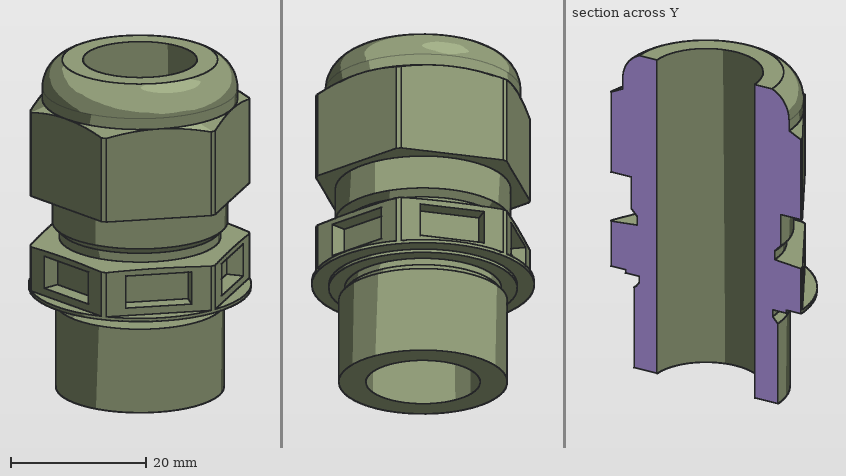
import cadquery as cq
import math

bore_radius = 8.45
thread_radius = 12.5
thread_neck_radius = 11.65
collar_radius = 13.95
flange_diameter = 33.0
corner_radius = flange_diameter / 2
body_neck_radius = 12.0
body_radius = 13.0
hex_inradius = 14.5
dome_top_radius = 11.55

thread_top = 13.05
thread_cone_top = 14.0
collar_bottom = 15.05
flange_bottom = 15.55
flange_top = 16.05
lower_hex_corner_top = 22.95
lower_hex_top = 23.35
body_cone_bottom = 24.75
body_cone_top = 25.75
nut_bottom = 30.85
nut_corner_top = 43.9
nut_top = 44.9
dome_bottom = 46.6
total_height = 51.0

pocket_width = 9.9
pocket_bottom = 17.25
pocket_height = 5.0
pocket_depth = 2.6


def revolve_profile(profile):
    """Revolve a closed radius-height profile around the Z axis."""
    return profile.close().revolve(360, (0, 0, 0), (0, 1, 0))


def make_core():
    """Round body: thread, flange, necks and the domed cap."""
    dome_height = total_height - dome_bottom
    dome_inset = hex_inradius - dome_top_radius
    arc_radius = (dome_inset**2 + dome_height**2) / (2 * dome_inset)
    half_angle = math.asin(dome_height / arc_radius) / 2
    arc_middle = (
        hex_inradius - arc_radius * (1 - math.cos(half_angle)),
        dome_bottom + arc_radius * math.sin(half_angle),
    )
    profile = (
        cq.Workplane("XZ")
        .moveTo(0, 0)
        .lineTo(thread_radius, 0)
        .lineTo(thread_radius, thread_top)
        .lineTo(thread_neck_radius, thread_cone_top)
        .lineTo(thread_neck_radius, collar_bottom)
        .lineTo(collar_radius, collar_bottom)
        .lineTo(collar_radius, flange_bottom)
        .lineTo(corner_radius, flange_bottom)
        .lineTo(corner_radius, flange_top)
        .lineTo(body_neck_radius, flange_top)
        .lineTo(body_neck_radius, body_cone_bottom)
        .lineTo(body_radius, body_cone_top)
        .lineTo(body_radius, nut_bottom)
        .lineTo(hex_inradius, nut_bottom)
        .lineTo(hex_inradius, dome_bottom)
        .threePointArc(arc_middle, (dome_top_radius, total_height))
        .lineTo(0, total_height)
    )
    return revolve_profile(profile)


def make_hexagon(bottom, corner_top, top, cone_top_radius):
    """Hexagonal prism with flats facing +Y and -Y, trimmed by a cylinder and a top cone."""
    corner_distance = 2 * hex_inradius / math.cos(math.pi / 6)
    prism = cq.Workplane("XY").workplane(offset=bottom).polygon(6, corner_distance).extrude(top - bottom)
    envelope = revolve_profile(
        cq.Workplane("XZ")
        .moveTo(0, bottom)
        .lineTo(corner_radius, bottom)
        .lineTo(corner_radius, corner_top)
        .lineTo(cone_top_radius, top)
        .lineTo(0, top)
    )
    return prism.intersect(envelope)


def make_pockets():
    """Cutters for one rectangular recess in each flat of the lower hexagon."""
    pocket = cq.Workplane("XY").box(pocket_width, pocket_depth, pocket_height, centered=(True, False, False))
    pocket = pocket.translate((0, hex_inradius - pocket_depth, pocket_bottom))
    pockets = cq.Workplane("XY")
    for index in range(6):
        pockets = pockets.add(pocket.rotate((0, 0, 0), (0, 0, 1), 60 * index))
    return pockets.combine()


lower_hex = make_hexagon(flange_top, lower_hex_corner_top, lower_hex_top, body_neck_radius)
nut = make_hexagon(nut_bottom, nut_corner_top, nut_top, hex_inradius)
bore = cq.Workplane("XY").circle(bore_radius).extrude(total_height)

result = make_core().union(lower_hex).union(nut).cut(make_pockets()).cut(bore)